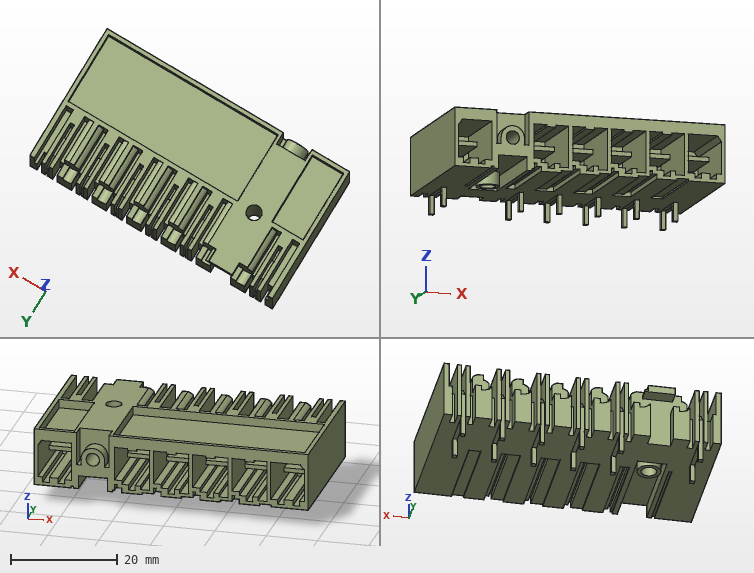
import cadquery as cq
import math

CELLS = 7
LENGTH = 53.35
PITCH = LENGTH / CELLS
DEPTH = 28.3
HEIGHT = 11.3
CONTACT_CELLS = [0, 2, 3, 4, 5, 6]
FLANGE_X = 1.5 * PITCH

CAVITY_DEPTH = 14.95
CAVITY_TOP = 9.05
CAVITY_HALF = 3.4
FLOOR_Z = 1.7
GROOVE_Z = 0.7
LEDGE_Z = 2.45
LEDGE_END = -2.0
LOW_FLOOR_Z = 1.0
LOW_FLOOR_START = 1.65
GROOVE_HALF = 0.65
KEY_HALF = 0.9
KEY_DROP = 0.4
END_OUTER = 3.1
END_INNER = 3.45
END_FLOOR_Z = 1.55
END_GROOVE_NEAR = 0.85
END_GROOVE_FAR = 2.15
END_CHAMFER_X = 0.8
END_CHAMFER_Z = 1.05

LABEL_Y0, LABEL_Y1 = 0.85, 15.75
LABEL_RECESS = 1.7
LABEL_RANGES = [(0.85, 7.7), (15.25, LENGTH - 0.85)]

FLANGE_WIDTH = 6.3
FLANGE_RECESS = 2.5
FLANGE_FLOOR = 4.85
BOSS_RADIUS = 2.3
BOSS_Z = 6.15
SCREW_DIAMETER = 2.55
SCREW_DEPTH = 8.0
MOUNT_Y = 16.0
MOUNT_DIAMETER = 3.0
MOUNT_BOSS_RADIUS = 2.25
FOOT_WIDTH = 5.65
FOOT_HEIGHT = 2.6
FOOT_END = 19.2

KEYWAY_END = 16.65
KEYWAY_SLOT_HEIGHT = 0.4
KEYWAY_SLOT_START = -1.85
FIRST_SLOT_START = -0.5
SLOT_CLEARANCE = 0.05
KEYWAY_HOOK_START = 0.45
KEYWAY_HOOK_MID = 0.9
KEYWAY_HOOK_END = 1.8
KEYWAY_HOOK_HEIGHT = 1.55
KEYWAY_HOOK_LOW = 0.9

FIN_START = 16.65
GAP_FLOOR = 6.4
FLOOR_END = 25.65
OUTER_WALL = 1.0
OUTER_LEDGE = 1.6
FIN_HALF = 1.25
RIB_HALF = 0.55
RIB_FLANK = 1.6
RIB_RADIUS = 2.05
RIB_STEP = 1.05
BLOCK_TOP = 7.2
CHANNEL_END = 0.45
CHANNEL_AXIS_X = 0.15
CHANNEL_AXIS_Z = BLOCK_TOP + 1.1
CHANNEL_RADIUS = 2.05
TAB_X0, TAB_X1 = 8.85, 14.05
TAB_THICKNESS = 1.45
TAB_LIP = 0.65
TAB_LIP_DROP = 1.0

CONTACT_THICKNESS = 0.85
BLADE_WIDTH = 4.5
BLADE_TIP = 5.35
BLADE_Z0 = 5.2
PLATE_START, PLATE_END = 19.05, 27.75
PLATE_STEP = 21.5
PLATE_STEP_Z = 6.4
PLATE_TOP = 7.45
PLATE_SLOPE_START = 25.5
LEG_WIDTH = 0.95
LEG_LENGTH = 3.6


def box(x0, x1, y0, y1, z0, z1):
    return cq.Workplane("XY").box(x1 - x0, y1 - y0, z1 - z0, centered=False).translate((x0, y0, z0))


def facing_front(y):
    """Workplane at the given Y whose local axes are X and Z and whose normal is -Y."""
    return cq.Workplane("XZ", origin=(0, y, 0))


def extrude_back(sketch, length):
    """Extrude a sketch on a front-facing workplane towards +Y."""
    return sketch.extrude(-length)


def cell_centre(cell):
    return (cell + 0.5) * PITCH


def inner_cavity(x):
    points = [
        (-CAVITY_HALF, CAVITY_TOP), (-CAVITY_HALF, LEDGE_Z), (LEDGE_END, LEDGE_Z), (LEDGE_END, FLOOR_Z),
        (-GROOVE_HALF, FLOOR_Z), (-GROOVE_HALF, GROOVE_Z), (GROOVE_HALF, GROOVE_Z), (GROOVE_HALF, FLOOR_Z),
        (LOW_FLOOR_START, FLOOR_Z), (LOW_FLOOR_START, LOW_FLOOR_Z),
        (CAVITY_HALF, LOW_FLOOR_Z), (CAVITY_HALF, CAVITY_TOP),
        (KEY_HALF, CAVITY_TOP), (KEY_HALF, CAVITY_TOP - KEY_DROP),
        (-KEY_HALF, CAVITY_TOP - KEY_DROP), (-KEY_HALF, CAVITY_TOP),
    ]
    sketch = facing_front(0).polyline([(x + dx, z) for dx, z in points]).close()
    return extrude_back(sketch, CAVITY_DEPTH)


def end_cavity(x, outward):
    """Cavity of an end cell; `outward` is the X direction (-1 or 1) of the outer wall."""
    near, far = END_GROOVE_NEAR, END_GROOVE_FAR
    points = [
        (END_OUTER - END_CHAMFER_X, CAVITY_TOP), (END_OUTER, CAVITY_TOP - END_CHAMFER_Z),
        (END_OUTER, FLOOR_Z), (far, FLOOR_Z), (far, GROOVE_Z), (near, GROOVE_Z), (near, FLOOR_Z),
        (-near, FLOOR_Z), (-near, GROOVE_Z), (-far, GROOVE_Z), (-far, END_FLOOR_Z),
        (-END_INNER, END_FLOOR_Z), (-END_INNER, CAVITY_TOP),
    ]
    sketch = facing_front(0).polyline([(x + outward * dx, z) for dx, z in points]).close()
    return extrude_back(sketch, CAVITY_DEPTH)


def keyway_slot(x0, x1):
    return box(x0, x1, 0, KEYWAY_END, 0, KEYWAY_SLOT_HEIGHT)


def keyway_hook(boundary):
    tall = box(boundary + KEYWAY_HOOK_START, boundary + KEYWAY_HOOK_MID, 0, KEYWAY_END, 0, KEYWAY_HOOK_HEIGHT)
    low = box(boundary + KEYWAY_HOOK_MID, boundary + KEYWAY_HOOK_END, 0, KEYWAY_END, 0, KEYWAY_HOOK_LOW)
    return tall.union(low)


def cut_front(body):
    for cell in CONTACT_CELLS[1:-1]:
        body = body.cut(inner_cavity(cell_centre(cell)))
    body = body.cut(end_cavity(cell_centre(0), -1))
    body = body.cut(end_cavity(cell_centre(CELLS - 1), 1))
    for x0, x1 in LABEL_RANGES:
        body = body.cut(box(x0, x1, LABEL_Y0, LABEL_Y1, HEIGHT - LABEL_RECESS, HEIGHT))
    body = body.cut(keyway_slot(PITCH + FIRST_SLOT_START, PITCH + SLOT_CLEARANCE))
    body = body.cut(keyway_slot(2 * PITCH + SLOT_CLEARANCE, 2 * PITCH + KEYWAY_HOOK_START))
    for boundary in range(3, CELLS):
        x = boundary * PITCH
        body = body.cut(keyway_slot(x + KEYWAY_SLOT_START, x + KEYWAY_HOOK_START))
    for boundary in range(2, CELLS - 1):
        body = body.cut(keyway_hook(boundary * PITCH))
    return body


def cut_flange(body):
    half = FLANGE_WIDTH / 2
    recess = box(FLANGE_X - half, FLANGE_X + half, 0, FLANGE_RECESS, FLANGE_FLOOR, HEIGHT)
    boss_left, boss_right = FLANGE_X - BOSS_RADIUS, FLANGE_X + BOSS_RADIUS
    screw_axis = facing_front(0).center(FLANGE_X, BOSS_Z)
    boss = extrude_back(screw_axis.circle(BOSS_RADIUS), FLANGE_RECESS)
    boss = boss.union(box(boss_left, boss_right, 0, FLANGE_RECESS, FLANGE_FLOOR, BOSS_Z))
    screw_hole = extrude_back(screw_axis.circle(SCREW_DIAMETER / 2), SCREW_DEPTH)
    mount = cq.Workplane("XY").center(FLANGE_X, MOUNT_Y)
    foot_recess = box(FLANGE_X - FOOT_WIDTH / 2, FLANGE_X + FOOT_WIDTH / 2, 0, FOOT_END, 0, FOOT_HEIGHT)
    foot_recess = foot_recess.cut(mount.circle(MOUNT_BOSS_RADIUS).extrude(FOOT_HEIGHT))
    mount_hole = mount.circle(MOUNT_DIAMETER / 2).extrude(HEIGHT)
    return body.cut(recess.cut(boss)).cut(screw_hole).cut(foot_recess).cut(mount_hole)


def flank_height(distance):
    """Height of the rounded right flank at a distance from the middle of the rib."""
    def above_axis(offset):
        return math.sqrt(RIB_RADIUS ** 2 - offset ** 2)

    return HEIGHT - above_axis(RIB_HALF) + above_axis(distance)


def rib(x):
    """Rib on a cell boundary: flat top, stepped rounded flank on the left, rounded flank on the right."""
    middle = (RIB_HALF + RIB_FLANK) / 2
    sketch = (
        facing_front(FIN_START)
        .moveTo(x - RIB_FLANK, GAP_FLOOR)
        .lineTo(x - RIB_FLANK, flank_height(RIB_FLANK) - RIB_STEP)
        .threePointArc((x - middle, flank_height(middle) - RIB_STEP), (x - RIB_HALF, HEIGHT - RIB_STEP))
        .lineTo(x - RIB_HALF, HEIGHT)
        .lineTo(x + RIB_HALF, HEIGHT)
        .threePointArc((x + middle, flank_height(middle)), (x + RIB_FLANK, flank_height(RIB_FLANK)))
        .lineTo(x + RIB_FLANK, GAP_FLOOR)
        .close()
    )
    return extrude_back(sketch, FLOOR_END - FIN_START)


def channel_block(x):
    """Block behind a rib, with a round channel along the left part of its top."""
    block = box(x - RIB_FLANK, x + RIB_FLANK, FLOOR_END, DEPTH, 0, BLOCK_TOP)
    circle = facing_front(FLOOR_END).center(x + CHANNEL_AXIS_X, CHANNEL_AXIS_Z).circle(CHANNEL_RADIUS)
    channel = extrude_back(circle, DEPTH - FLOOR_END)
    left_part = box(x - RIB_FLANK, x + CHANNEL_END, FLOOR_END, DEPTH, 0, HEIGHT)
    return block.cut(channel.intersect(left_part))


def fin_pair(x):
    return box(x - FIN_HALF, x + FIN_HALF, FIN_START, DEPTH, 0, HEIGHT)


def shape_rear(body):
    inner_end = LENGTH - OUTER_WALL
    body = body.cut(box(OUTER_WALL, inner_end, FIN_START, DEPTH, GAP_FLOOR, HEIGHT))
    body = body.cut(box(OUTER_LEDGE, LENGTH - OUTER_LEDGE, FLOOR_END, DEPTH, 0, HEIGHT))
    for boundary in range(1, CELLS):
        body = body.union(rib(boundary * PITCH)).union(channel_block(boundary * PITCH))
    for cell in CONTACT_CELLS:
        body = body.union(fin_pair(cell_centre(cell)))
    neck = box(PITCH - RIB_HALF, 2 * PITCH + RIB_HALF, FIN_START, FLOOR_END, GAP_FLOOR, HEIGHT)
    tab_bottom = HEIGHT - TAB_THICKNESS
    tab = box(TAB_X0, TAB_X1, FLOOR_END, DEPTH, tab_bottom, HEIGHT)
    lip = box(TAB_X1, TAB_X1 + TAB_LIP, FLOOR_END, DEPTH, tab_bottom, HEIGHT - TAB_LIP_DROP)
    return body.union(neck).union(tab).union(lip)


def blade(x):
    half = BLADE_WIDTH / 2
    return box(x - half, x + half, BLADE_TIP, PLATE_START, BLADE_Z0, BLADE_Z0 + CONTACT_THICKNESS)


def contact(x):
    """Flat blade in the cavity, upright plate in the rear slot and two solder legs."""
    half = CONTACT_THICKNESS / 2
    front_leg_end = PLATE_START + LEG_WIDTH
    rear_leg_start = PLATE_END - LEG_WIDTH
    slope_end_z = PLATE_TOP - (PLATE_END - PLATE_SLOPE_START)
    plate = (
        cq.Workplane("YZ", origin=(x - half, 0, 0))
        .polyline([
            (PLATE_START, -LEG_LENGTH), (front_leg_end, -LEG_LENGTH), (front_leg_end, 0),
            (rear_leg_start, 0), (rear_leg_start, -LEG_LENGTH), (PLATE_END, -LEG_LENGTH),
            (PLATE_END, slope_end_z), (PLATE_SLOPE_START, PLATE_TOP), (PLATE_STEP, PLATE_TOP),
            (PLATE_STEP, PLATE_STEP_Z), (PLATE_START, PLATE_STEP_Z),
        ])
        .close()
        .extrude(CONTACT_THICKNESS)
    )
    return plate.union(blade(x))


def contact_space(x):
    """Slot for the plate, open at the back, top and bottom, and the seat of the blade."""
    half = CONTACT_THICKNESS / 2
    return box(x - half, x + half, PLATE_START, DEPTH, 0, HEIGHT).union(blade(x))


housing = cut_flange(cut_front(shape_rear(box(0, LENGTH, 0, DEPTH, 0, HEIGHT))))
for cell in CONTACT_CELLS:
    housing = housing.cut(contact_space(cell_centre(cell)))

contacts = [contact(cell_centre(cell)) for cell in CONTACT_CELLS]

result = cq.Compound.makeCompound([housing.val(), *[piece.val() for piece in contacts]])